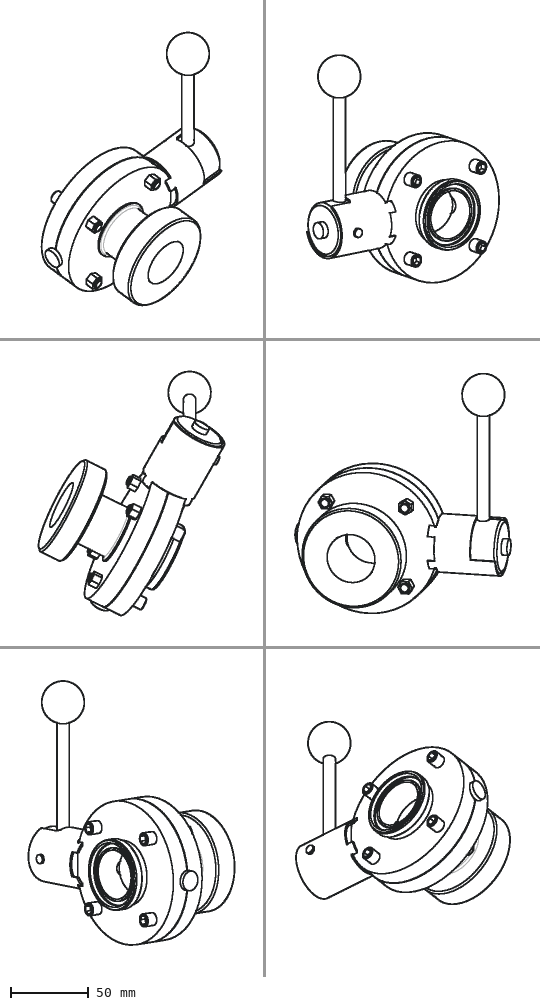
import cadquery as cq
import math


overall_height = 161.0

bore_radius = 16.0

flange_radius = 46.9
flange_face = 12.4
flange_gap = 0.5

inlet_end = -23.8
inlet_rim_radius = 23.0
inlet_rim_chamfer_length = 1.1
inlet_rim_chamfer_depth = 0.5
inlet_rim_back = -18.2
inlet_neck_start = -16.7
inlet_neck_radius = 21.3
gasket_mouth_radius = 21.0
gasket_wall_radius = 20.1
gasket_step_depth = 2.4
gasket_depth = 3.7
gasket_lip_radius = 17.4

outlet_end = 54.1
collar_radius = 20.1
collar_end = 13.4
pipe_radius = 17.5
pipe_fillet = 1.3
ring_start = 37.8
ring_radius = 33.0
ring_chamfer = 1.3
ring_fillet = 1.3

bolt_count = 4
bolt_offset = 26.5
bolt_shank_radius = 3.0
bolt_tip = 19.6
bolt_tip_chamfer = 0.5
bolt_head_radius = 4.2
bolt_head_end = -20.3
bolt_head_chamfer = 0.5
socket_flats = 5.5
socket_depth = 4.0
nut_flats = 8.2
nut_end = 18.2

disc_half_centre = 2.0
disc_half_edge = 3.2

spindle_radius = 5.3
spindle_end = 91.1
journal_radius = 6.5
journal_shoulder = -49.5
journal_tip = -51.0

hub_radius = 19.0
hub_core_radius = 17.5
hub_core_recess = 0.3
hub_start = 46.0
hub_end = 86.5
hub_core_end = 87.3
hub_core_chamfer = 1.6
prong_end = 41.2
prong_spacing = 16.1
pin_radius = 2.9
pin_tip = -20.5

lever_radius = 4.0
lever_y = 74.0
ball_radius = 13.8
ball_z = overall_height - flange_radius - ball_radius
slot_start = lever_y - lever_radius
slot_overrun_top = 7.7
slot_overrun_side = 5.5
slot_corner_radius = 2.4


def rod_x(radius, x_start, x_end):
    """Round rod on the flow axis."""
    return cq.Workplane("YZ").workplane(offset=x_start).circle(radius).extrude(x_end - x_start)


def rod_y(radius, y_start, y_end):
    """Round rod on the spindle axis."""
    return cq.Workplane("XZ").workplane(offset=-y_start).circle(radius).extrude(y_start - y_end)


def hexagon_x(flats, x_start, x_end):
    """Hexagonal prism along X with two corners on the Y axis."""
    across_corners = 2 * flats / math.sqrt(3)
    return cq.Workplane("YZ").workplane(offset=x_start).polygon(6, across_corners).extrude(x_end - x_start)


def block(x_range, y_range, z_range):
    """Rectangular block between pairs of coordinates."""
    low, high = zip(x_range, y_range, z_range)
    size = [b - a for a, b in zip(low, high)]
    return cq.Workplane("XY").box(*size, centered=False).translate(low)


def place_on_bolt_circle(shape, index):
    """Move a shape on the flow axis to one bolt position, turned with that position."""
    turn = index * 360 / bolt_count
    return shape.translate((0, bolt_offset, bolt_offset)).rotate((0, 0, 0), (1, 0, 0), turn)


def revolve_about_x(profile):
    """Close a half profile drawn in the XY plane and turn it around the flow axis."""
    return profile.close().revolve(360, (0, 0, 0), (1, 0, 0))


def spindle_bearings():
    """Round space that the spindle takes up inside the flanges."""
    return rod_y(spindle_radius, 0, hub_start).union(rod_y(journal_radius, journal_shoulder, 0))


def fit_to_valve(housing):
    """Cut the bolt holes, the spindle bearings and the flat seat of the hub."""
    for index in range(bolt_count):
        hole = rod_x(bolt_shank_radius, -flange_face, flange_face)
        housing = housing.cut(place_on_bolt_circle(hole, index))
    hub_seat = block(
        (-flange_face, flange_face), (hub_start, flange_radius), (-flange_radius, flange_radius)
    )
    return housing.cut(spindle_bearings()).cut(hub_seat)


def make_inlet_housing():
    profile = (
        cq.Workplane("XY")
        .moveTo(-flange_gap / 2, bore_radius)
        .lineTo(-flange_gap / 2, flange_radius)
        .lineTo(-flange_face, flange_radius)
        .lineTo(-flange_face, inlet_neck_radius)
        .lineTo(inlet_neck_start, inlet_neck_radius)
        .lineTo(inlet_rim_back, inlet_rim_radius)
        .lineTo(inlet_end + inlet_rim_chamfer_length, inlet_rim_radius)
        .lineTo(inlet_end, inlet_rim_radius - inlet_rim_chamfer_depth)
        .lineTo(inlet_end, gasket_mouth_radius)
        .lineTo(inlet_end + gasket_step_depth, gasket_wall_radius)
        .lineTo(inlet_end + gasket_depth, gasket_wall_radius)
        .lineTo(inlet_end + gasket_depth, gasket_lip_radius)
        .lineTo(inlet_end + gasket_step_depth, gasket_lip_radius)
        .lineTo(inlet_end + gasket_step_depth, bore_radius)
    )
    return fit_to_valve(revolve_about_x(profile))


def make_outlet_housing():
    profile = (
        cq.Workplane("XY")
        .moveTo(flange_gap / 2, bore_radius)
        .lineTo(flange_gap / 2, flange_radius)
        .lineTo(flange_face, flange_radius)
        .lineTo(flange_face, collar_radius)
        .lineTo(collar_end, collar_radius)
        .lineTo(collar_end, pipe_radius + pipe_fillet)
        .radiusArc((collar_end + pipe_fillet, pipe_radius), -pipe_fillet)
        .lineTo(ring_start - ring_fillet, pipe_radius)
        .radiusArc((ring_start, pipe_radius + ring_fillet), -ring_fillet)
        .lineTo(ring_start, ring_radius - ring_chamfer)
        .lineTo(ring_start + ring_chamfer, ring_radius)
        .lineTo(outlet_end - ring_chamfer, ring_radius)
        .lineTo(outlet_end, ring_radius - ring_chamfer)
        .lineTo(outlet_end, bore_radius)
    )
    return fit_to_valve(revolve_about_x(profile))


def make_bolt(index):
    """Socket head bolt joined with its nut."""
    shank = rod_x(bolt_shank_radius, -flange_face, bolt_tip).faces(">X").chamfer(bolt_tip_chamfer)
    head = rod_x(bolt_head_radius, bolt_head_end, -flange_face).faces("<X").chamfer(bolt_head_chamfer)
    socket = hexagon_x(socket_flats, bolt_head_end, bolt_head_end + socket_depth)
    nut = hexagon_x(nut_flats, flange_face, nut_end).rotate((0, 0, 0), (1, 0, 0), 90)
    return place_on_bolt_circle(shank.union(head).cut(socket).union(nut), index)


def make_disc():
    """Closing disc; each face is hollowed by a large cylinder parallel to Z."""
    disc = rod_x(bore_radius, -disc_half_edge, disc_half_edge)
    sag = disc_half_edge - disc_half_centre
    hollow_radius = (bore_radius**2 + sag**2) / (2 * sag)
    for side in (-1, 1):
        hollow_x = side * (disc_half_centre + hollow_radius)
        hollow = cq.Workplane("XY").center(hollow_x, 0).circle(hollow_radius)
        disc = disc.cut(hollow.extrude(bore_radius, both=True))
    return disc


def make_spindle():
    """Spindle outside the bore, with a domed journal at its free end."""
    dome_height = journal_shoulder - journal_tip
    dome_radius = (journal_radius**2 + dome_height**2) / (2 * dome_height)
    journal_profile = (
        cq.Workplane("XY")
        .lineTo(journal_radius, 0)
        .lineTo(journal_radius, journal_shoulder)
        .radiusArc((0, journal_tip), dome_radius)
    )
    journal = journal_profile.close().revolve(360, (0, 0, 0), (0, 1, 0))
    shaft = rod_y(spindle_radius, 0, spindle_end)
    return shaft.union(journal).cut(rod_x(bore_radius, -flange_face, flange_face))


def make_hub():
    """Hub with two pairs of prongs that straddle the flanges and a slot for the lever."""
    sleeve = rod_y(hub_radius, prong_end, hub_end)
    flange_space = block((-flange_face, flange_face), (prong_end, hub_start), (-hub_radius, hub_radius))
    prong_space = block(
        (-hub_radius, hub_radius), (prong_end, hub_start), (-prong_spacing / 2, prong_spacing / 2)
    )
    slot = block((-slot_overrun_top, hub_radius), (slot_start, hub_end), (-slot_overrun_side, hub_radius))
    slot = slot.edges("|Z and <X and <Y").fillet(slot_corner_radius)
    core_space = rod_y(hub_core_radius, prong_end, hub_end)
    sleeve = sleeve.cut(core_space).cut(flange_space).cut(prong_space).cut(slot)
    core = rod_y(hub_core_radius, hub_start + hub_core_recess, hub_core_end)
    core = core.faces(">Y").chamfer(hub_core_chamfer)
    pin = rod_x(pin_radius, pin_tip, 0).translate((0, lever_y, 0))
    return sleeve.union(core).union(pin)


def make_lever():
    """Upright lever with a ball knob."""
    rod = cq.Workplane("XY").circle(lever_radius).extrude(ball_z)
    ball = cq.Workplane("XY").sphere(ball_radius).translate((0, 0, ball_z))
    return rod.union(ball).translate((0, lever_y, 0))


def make_handle():
    """Turning part: disc, spindle, hub and lever in one piece."""
    return make_disc().union(make_spindle()).union(make_hub()).union(make_lever())


inlet_housing = make_inlet_housing()
outlet_housing = make_outlet_housing()
handle = make_handle()
bolts = [make_bolt(index).val() for index in range(bolt_count)]

result = cq.Compound.makeCompound([inlet_housing.val(), outlet_housing.val(), handle.val(), *bolts])